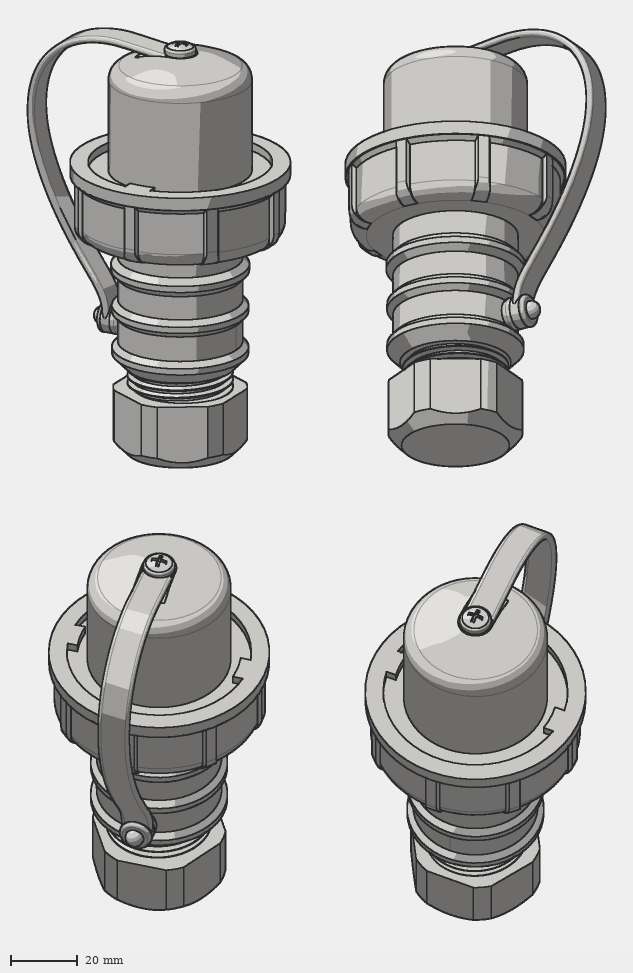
import cadquery as cq
import math

nut_height = 20.2
nut_across_flats = 37.2
nut_corner_diameter = 40.2
nut_foot_diameter = 32.3

thread_minor_diameter = 28.5
thread_major_diameter = 31.7
thread_pitch = 2.3
thread_turns = 4
thread_start_z = 17.8
thread_crest_width = 0.3
thread_root_width = 1.8
thread_root_overlap = 0.3

body_diameter = 37.5
bead_diameter = 41.0
top_bead_diameter = 41.5
body_foot_diameter = 33.2
body_foot_z = 27.0
bead_crest_height = 2.0
bead_centers_z = [31.9, 45.1, 58.2]

collar_bottom_z = 68.4
collar_top_z = 91.4
flange_thickness = 4.0
flange_diameter = 66.0
rib_diameter = 65.2
panel_diameter = 62.8
panel_top_drop = 1.5
panel_bottom_radius = 4.7
rib_bottom_radius = 5.4
rib_count = 8
rib_tip_width = 3.4
rib_root_width = 4.7
mouth_diameter = 55.2
mouth_depth = 2.6
key_inner_diameter = 49.1
key_width = 8.4

cap_diameter = 43.0
cap_shoulder_z = 117.5
crown_diameter = 37.0
crown_base_z = 122.0
crown_top_z = 126.3
seat_width = 10.5
seat_length = 12.5
seat_z = 124.1

washer_diameter = 10.5
screw_diameter = 9.5
screw_dome_diameter = 8.0
screw_bottom_z = 125.9
screw_edge_z = 127.2
screw_dome_z = 128.0
screw_top_z = 129.3
cross_length = 4.5
cross_width = 0.9
cross_depth = 1.0

button_z = 38.5
button_diameter = 10.0
button_back_x = -17.7
button_neck_diameter = 9.8
button_neck_back_x = -21.5
button_neck_front_x = -24.5
button_front_x = -26.0
button_ball_x = -26.1
button_edge_radius = 1.0
button_back_radius = 2.3
button_dome_diameter = 5.5

strap_width = 9.7
strap_thickness = 2.2
strap_lead_in = (-1, 0.15)
strap_lead_out = (0, -1)
strap_path_points = [
    (0, 124.6),
    (-11.2, 126.2),
    (-20.7, 127.3),
    (-36.2, 124.1),
    (-44.7, 116.1),
    (-48.5, 102.1),
    (-44.5, 81.8),
    (-29.0, 53.8),
    (-23.8, 44.6),
    (-23.0, button_z),
]


def cylinder(diameter, bottom_z, top_z):
    return cq.Workplane("XY").workplane(offset=bottom_z).circle(diameter / 2).extrude(top_z - bottom_z)


def revolve_about_z(profile):
    return profile.close().revolve(360, (0, 0, 0), (0, 1, 0))


def spherical_cap_middle(base_radius, base_z, top_z):
    """Point halfway up the arc of a spherical cap, as radius and height."""
    rise = top_z - base_z
    sphere_radius = (base_radius**2 + rise**2) / (2 * rise)
    half_angle = math.asin(base_radius / sphere_radius) / 2
    return (
        sphere_radius * math.sin(half_angle),
        top_z - sphere_radius * (1 - math.cos(half_angle)),
    )


def make_nut():
    """Hexagon with flats on the X sides, rounded corners and a 45 degree foot."""
    corner_radius = nut_corner_diameter / 2
    foot_radius = nut_foot_diameter / 2
    foot_height = corner_radius - foot_radius
    hexagon = (
        cq.Workplane("XY")
        .polygon(6, nut_across_flats / math.cos(math.pi / 6))
        .extrude(nut_height)
        .rotate((0, 0, 0), (0, 0, 1), 30)
    )
    envelope = revolve_about_z(
        cq.Workplane("XZ")
        .lineTo(foot_radius, 0)
        .lineTo(corner_radius, foot_height)
        .lineTo(corner_radius, nut_height)
        .lineTo(0, nut_height)
    )
    return hexagon.intersect(envelope)


def make_thread():
    """Right-hand ridge wound on the neck between the nut and the body."""
    root_radius = thread_minor_diameter / 2 - thread_root_overlap
    crest_radius = thread_major_diameter / 2
    helix = cq.Wire.makeHelix(thread_pitch, thread_pitch * thread_turns, root_radius)
    ridge = (
        cq.Workplane("XZ")
        .moveTo(root_radius, -thread_root_width / 2)
        .lineTo(crest_radius, -thread_crest_width / 2)
        .lineTo(crest_radius, thread_crest_width / 2)
        .lineTo(root_radius, thread_root_width / 2)
        .close()
        .sweep(cq.Workplane(obj=helix), isFrenet=True)
    )
    return ridge.translate((0, 0, thread_start_z))


def make_body():
    """Turned body with three 45 degree beads, the lowest one running into a cone."""
    body_radius = body_diameter / 2
    half_crest = bead_crest_height / 2
    diameters = [bead_diameter, bead_diameter, top_bead_diameter]
    profile = cq.Workplane("XZ").moveTo(0, body_foot_z).lineTo(body_foot_diameter / 2, body_foot_z)
    for index, (center_z, diameter) in enumerate(zip(bead_centers_z, diameters)):
        bead_radius = diameter / 2
        slope_height = bead_radius - body_radius
        if index > 0:
            profile = profile.lineTo(body_radius, center_z - half_crest - slope_height)
        profile = (
            profile.lineTo(bead_radius, center_z - half_crest)
            .lineTo(bead_radius, center_z + half_crest)
            .lineTo(body_radius, center_z + half_crest + slope_height)
        )
    profile = profile.lineTo(body_radius, collar_bottom_z).lineTo(0, collar_bottom_z)
    return revolve_about_z(profile)


def make_collar():
    """Ribbed ring with a flange on top and a shallow keyed mouth around the cap."""
    flange_bottom_z = collar_top_z - flange_thickness
    rib_radius = rib_diameter / 2
    panel_radius = panel_diameter / 2

    core = cylinder(panel_diameter, collar_bottom_z, flange_bottom_z)
    core = core.faces("<Z").edges().fillet(panel_bottom_radius)
    shoulder = revolve_about_z(
        cq.Workplane("XZ")
        .moveTo(0, flange_bottom_z - panel_top_drop)
        .lineTo(panel_radius, flange_bottom_z - panel_top_drop)
        .lineTo(rib_radius, flange_bottom_z)
        .lineTo(0, flange_bottom_z)
    )

    rib_envelope = cylinder(rib_diameter, collar_bottom_z, flange_bottom_z)
    rib_envelope = rib_envelope.faces("<Z").edges().fillet(rib_bottom_radius)
    flank_slope = (rib_root_width - rib_tip_width) / 2 / (rib_radius - panel_radius)
    inner_radius = panel_radius - panel_bottom_radius
    inner_half_width = rib_root_width / 2
    outer_half_width = rib_tip_width / 2 - flank_slope * (flange_diameter / 2 - rib_radius)
    wedge = (
        cq.Workplane("XY")
        .workplane(offset=collar_bottom_z)
        .moveTo(inner_radius, -inner_half_width)
        .lineTo(panel_radius, -inner_half_width)
        .lineTo(flange_diameter / 2, -outer_half_width)
        .lineTo(flange_diameter / 2, outer_half_width)
        .lineTo(panel_radius, inner_half_width)
        .lineTo(inner_radius, inner_half_width)
        .close()
        .extrude(flange_bottom_z - collar_bottom_z)
    )
    rib = wedge.intersect(rib_envelope)

    collar = core.union(shoulder).union(cylinder(flange_diameter, flange_bottom_z, collar_top_z))
    for index in range(rib_count):
        collar = collar.union(rib.rotate((0, 0, 0), (0, 0, 1), index * 360 / rib_count))

    mouth_floor_z = collar_top_z - mouth_depth
    mouth = cylinder(mouth_diameter, mouth_floor_z, collar_top_z)
    keys = (
        cq.Workplane("XY")
        .workplane(offset=mouth_floor_z)
        .rect(key_width, mouth_diameter)
        .extrude(mouth_depth)
        .cut(cylinder(key_inner_diameter, mouth_floor_z, collar_top_z))
    )
    return collar.cut(mouth.cut(keys))


def make_cap():
    """Round cap with a rolled shoulder, a shallow spherical crown and a flat strap seat."""
    cap_radius = cap_diameter / 2
    crown_radius = crown_diameter / 2
    crown_middle = spherical_cap_middle(crown_radius, crown_base_z, crown_top_z)
    cap = revolve_about_z(
        cq.Workplane("XZ")
        .moveTo(0, collar_bottom_z)
        .lineTo(cap_radius, collar_bottom_z)
        .lineTo(cap_radius, cap_shoulder_z)
        .tangentArcPoint((crown_radius, crown_base_z), relative=False)
        .threePointArc(crown_middle, (0, crown_top_z))
    )
    seat = (
        cq.Workplane("XY")
        .workplane(offset=seat_z)
        .center(-seat_length / 2, 0)
        .rect(seat_length, seat_width)
        .extrude(crown_top_z - seat_z)
        .union(cylinder(seat_width, seat_z, crown_top_z))
    )
    return cap.cut(seat)


def make_screw():
    """Domed cross-head screw standing on the round end of the strap."""
    screw_radius = screw_diameter / 2
    dome_radius = screw_dome_diameter / 2
    dome_middle = spherical_cap_middle(dome_radius, screw_dome_z, screw_top_z)
    head = revolve_about_z(
        cq.Workplane("XZ")
        .moveTo(0, screw_bottom_z)
        .lineTo(screw_radius, screw_bottom_z)
        .lineTo(screw_radius, screw_edge_z)
        .tangentArcPoint((dome_radius, screw_dome_z), relative=False)
        .threePointArc(dome_middle, (0, screw_top_z))
    )
    recess_plane = cq.Workplane("XY").workplane(offset=screw_top_z)
    for length_x, length_y in [(cross_length, cross_width), (cross_width, cross_length)]:
        head = head.cut(recess_plane.rect(length_x, length_y).extrude(-cross_depth))
    return head.union(cylinder(washer_diameter, seat_z, screw_bottom_z))


def make_button():
    """Flanged button on the -X side of the body, ending in a small ball."""

    def disc(diameter, start_x, end_x):
        plane = cq.Workplane("YZ").workplane(offset=start_x).center(0, button_z)
        return plane.circle(diameter / 2).extrude(end_x - start_x)

    back = disc(button_diameter, button_neck_back_x, button_back_x)
    back = back.faces(">X").edges().fillet(button_back_radius)
    neck = disc(button_neck_diameter, button_neck_front_x, button_neck_back_x)
    front = disc(button_diameter, button_front_x, button_neck_front_x)
    front = front.faces("<X").edges().fillet(button_edge_radius)
    ball = cq.Workplane("XY").sphere(button_dome_diameter / 2).translate((button_ball_x, 0, button_z))
    return back.union(neck).union(front).union(ball)


def make_strap():
    """Flat strap with rounded edges bowing from the screw out and down to the button."""
    path = cq.Workplane("XZ").spline(strap_path_points, tangents=[strap_lead_in, strap_lead_out])
    start_x, start_z = strap_path_points[0]
    section_plane = cq.Plane(
        origin=(start_x, 0, start_z),
        xDir=(0, 1, 0),
        normal=(strap_lead_in[0], 0, strap_lead_in[1]),
    )
    return cq.Workplane(section_plane).slot2D(strap_width, strap_thickness).sweep(path)


neck = cylinder(thread_minor_diameter, nut_height, body_foot_z)
result = make_nut().union(neck).union(make_thread()).union(make_body())
result = result.union(make_cap()).union(make_collar())
result = result.union(make_strap()).union(make_screw()).union(make_button())